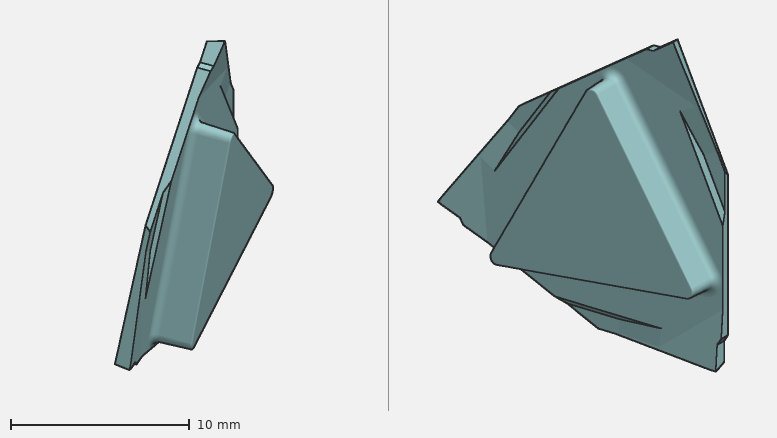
import cadquery as cq
import math


total_height = 3.0
floor_height = 0.63
tip_height = 0.97
edge_end_height = 0.38

side_distance = 7.1
step_depth = 0.25
side_start = 2.65
step_start = -6.78
step_end = -7.15
side_end = -8.4

flare_angle = 16.8
rake_run = 6.65
inward_slope = 0.1
groove_bottom_width = 0.82
groove_top_width = 1.12
margin = 3.8
reach = 37.96

boss_inradius = 4.05
boss_corner_radius = 0.55
boss_draft = 2.4
root_fillet = 0.5
top_round = 0.1

turns = (0, -120, -240)


def turned(point, degrees):
    """Turn a (Y, Z) point about the X axis."""
    a = math.radians(degrees)
    y, z = point
    return (y * math.cos(a) - z * math.sin(a), y * math.sin(a) + z * math.cos(a))


short_side = side_distance - step_depth
tip = (short_side, side_end)
edge_end = turned((side_distance, side_start), -120)
edge_length = math.dist(tip, edge_end)
edge_y = (edge_end[0] - tip[0]) / edge_length
edge_z = (edge_end[1] - tip[1]) / edge_length
next_side_y, next_side_z = turned((0, 1), -120)
end_sine = abs(edge_y * next_side_z - edge_z * next_side_y)
tip_sine = abs(edge_y)

up = cq.Vector(1, 0, 0)
along = cq.Vector(0, edge_y, edge_z)
inward = along.cross(up)


def outline(flare):
    """Plate outline with its cutting flanks moved outward by flare."""
    points = []
    for turn in turns:
        side = (
            (side_distance, side_start + flare / end_sine),
            (side_distance, step_start),
            (short_side, step_end),
            (short_side, side_end - flare / tip_sine),
        )
        points += [turned(point, turn) for point in side]
    return points


def make_blank():
    flare = tip_height * math.tan(math.radians(flare_angle))
    return (
        cq.Workplane("YZ").polyline(outline(0)).close()
        .workplane(offset=tip_height).polyline(outline(flare)).close()
        .loft(ruled=True)
    )


def make_groove():
    """Chip groove behind one cutting edge, following the fall of the edge."""
    origin = (0, tip[0], tip[1])
    edge_plane = cq.Plane(origin=origin, xDir=along, normal=inward)
    fall = (
        (0, tip_height),
        (rake_run, edge_end_height),
        (edge_length + margin, edge_end_height),
        (edge_length + margin, tip_height),
    )
    trough = (
        cq.Workplane(edge_plane).workplane(offset=-margin)
        .polyline(fall).close().extrude(2 * margin)
    )

    cross_plane = cq.Plane(origin=origin, xDir=inward, normal=-along)
    section = (
        (-margin, 0),
        (groove_bottom_width, 0),
        (groove_bottom_width, edge_end_height),
        (groove_top_width, floor_height),
        (groove_top_width, tip_height),
        (-margin, tip_height),
    )
    limit = cq.Workplane(cross_plane).polyline(section).close().extrude(-edge_length - margin)
    return trough.intersect(limit)


def make_tip_space():
    """Everything below the sloping plane through the top of one tip."""
    edge_slope = (tip_height - edge_end_height) / rake_run
    normal = up + along * edge_slope + inward * inward_slope
    return (
        cq.Workplane(cq.Plane(origin=(tip_height, *tip), normal=normal))
        .rect(2 * reach, 2 * reach).extrude(-reach)
    )


def make_boss():
    foot_depth = floor_height / 2
    corner_distance = 2 * (boss_inradius - boss_corner_radius)
    corners = [turned((0, corner_distance), turn) for turn in turns]
    boss = (
        cq.Workplane("YZ").workplane(offset=floor_height)
        .polyline(corners).close().offset2D(boss_corner_radius)
        .extrude(total_height - floor_height, taper=boss_draft)
        .faces(">X").edges().fillet(top_round)
    )
    foot = (
        cq.Workplane("YZ").workplane(offset=floor_height - foot_depth)
        .circle(corner_distance + margin).extrude(foot_depth)
    )
    joined = foot.union(boss)
    seat = joined.faces("<X[1]").val()
    root_edges = seat.innerWires()[0].Edges()
    filleted = joined.newObject(root_edges).fillet(root_fillet)
    above_floor = cq.Workplane("YZ").workplane(offset=floor_height).rect(reach, reach).extrude(reach)
    return filleted.intersect(above_floor)


blank = make_blank()
groove = make_groove()
tip_space = make_tip_space()
plate = blank.intersect(cq.Workplane("YZ").rect(reach, reach).extrude(floor_height))
for turn in turns:
    plate = plate.cut(groove.rotate((0, 0, 0), (1, 0, 0), turn))
for turn in turns:
    plate = plate.union(blank.intersect(tip_space.rotate((0, 0, 0), (1, 0, 0), turn)))

result = plate.union(make_boss())